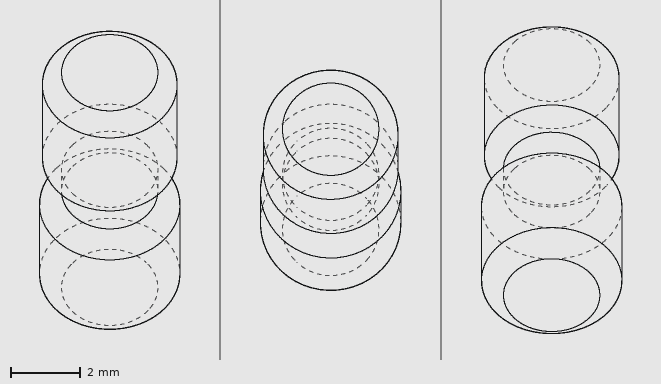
import cadquery as cq

total_length = 10.16
neck_length = 1.02
neck_diameter = 2.79
lower_diameter = 4.07
upper_diameter = 3.91

body_length = (total_length - neck_length) / 2


def chamfered_body(diameter, base_z):
    """Cylinder with 45-degree chamfers that taper both ends to the neck diameter."""
    chamfer = (diameter - neck_diameter) / 2
    return (
        cq.Workplane("XY")
        .workplane(offset=base_z)
        .circle(diameter / 2)
        .extrude(body_length)
        .faces("<Z or >Z")
        .chamfer(chamfer)
    )


lower_body = chamfered_body(lower_diameter, 0)
upper_body = chamfered_body(upper_diameter, body_length + neck_length)

neck = (
    cq.Workplane("XY")
    .workplane(offset=body_length)
    .circle(neck_diameter / 2)
    .extrude(neck_length)
)

result = lower_body.union(neck).union(upper_body)